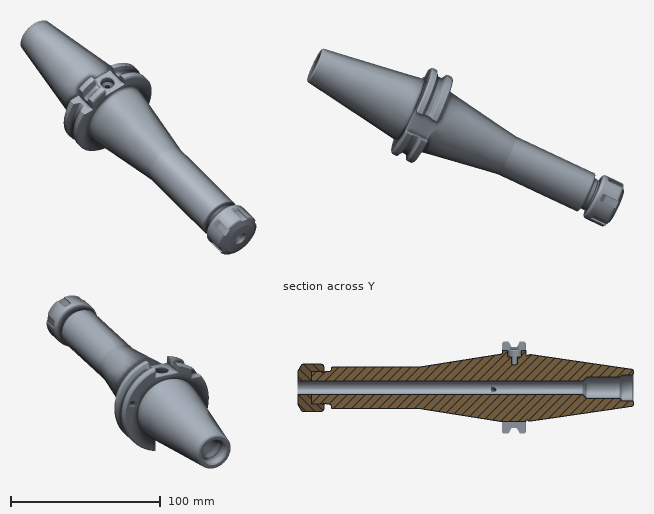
import cadquery as cq
import math

GAUGE_X = 69.2
UNDERCUT_X = 70.3
FLANGE_X = 71.6
FLANGE_END_X = 87.5
CONE_END_X = 142.5
BODY_END_X = 201.7
NUT_X = 206.5
END_X = 223.9

GAUGE_R = 22.4
TAPER_RATIO = 7 / 48
SMALL_END_R = GAUGE_R - GAUGE_X * TAPER_RATIO
LAND_R = 22.2
UNDERCUT_R = 21.5
FLANGE_R = 31.68
CONE_START_R = 22.72
BODY_R = 14.0
SMALL_END_CHAMFER = 1.0
FLANGE_CHAMFER = 1.0
CONE_START_FILLET = 1.3
CONE_BLEND_R = 5.5
BODY_END_FILLET = 1.1

GROOVE_X = 79.5
GROOVE_BOTTOM_R = 28.1
GROOVE_BOTTOM_WIDTH = 3.4
GROOVE_HALF_ANGLE = math.radians(30)
GROOVE_BOTTOM_FILLET = 1.1

SLOT_WIDTH = 16.1
SLOT_LENGTH = FLANGE_END_X + CONE_START_FILLET - FLANGE_X
UPPER_SLOT_Z = 25.0
LOWER_SLOT_Z = -22.5
NOTCH_OFFSET = 18.47
SLOT_CHAMFER = 0.5
SEAT_R = 4.6
SEAT_CHAMFER = 0.5
SEAT_DEPTH = 4.5
PILOT_R = 1.8
PILOT_DEPTH = 4.5
PILOT_TIP = 1.0

COOLANT_R = 2.0
COOLANT_PITCH_R = 26.9
COOLANT_ANGLE = 19.5
COOLANT_LENGTH = 32.5

BORE_R = 4.37
MOUTH_R = 9.5
COUNTERBORE_R = 8.5
COUNTERBORE_DEPTH = 8.0
THREAD_ENTRY_R = 8.0
THREAD_BORE_R = 7.0
THREAD_BORE_END_X = 31.3
BORE_CONE_END_X = THREAD_BORE_END_X + THREAD_BORE_R - BORE_R

NOSE_R = 11.08
NOSE_END_X = 215.0
NOSE_FILLET = 1.1
THREAD_X = 204.6
THREAD_PITCH = 1.5
THREAD_WIDTH = 1.1
THREAD_TURNS = 2
THREAD_DEPTH = 1.0
THREAD_OVERRUN = 0.07

NUT_R = 16.0
NUT_FACE_R = 11.2
NUT_CONE_LENGTH = 2.7
NUT_REAR_FILLET = 2.0
NUT_CONE_FILLET = 1.5
NUT_FACE_FILLET = 1.8
WRENCH_SLOTS = 6
WRENCH_SLOT_ANGLE = 11.0
WRENCH_SLOT_WIDTH = 5.4
WRENCH_FLOOR_R = 14.45
WRENCH_SLOT_X = 209.8
WRENCH_FLOOR_X = 212.5

MARGIN = 2.2
TOLERANCE = 0.02


def revolve_about_x(points):
    """Turn a closed outline of (x, radius) points about the X axis."""
    return cq.Workplane("XZ").polyline(points).close().revolve(360, (0, 0, 0), (1, 0, 0))


def circle_edges(shape, x, radius):
    """Circular edges centred on the X axis at the given position and radius."""
    outer = radius + TOLERANCE
    inner = radius - TOLERANCE
    slab = cq.selectors.BoxSelector(
        (x - TOLERANCE, -outer, -outer), (x + TOLERANCE, outer, outer), boundingbox=True
    )
    return shape.edges(slab).filter(lambda edge: edge.BoundingBox().zmax > inner)


def turned_holder():
    holder = revolve_about_x([
        (0, 0),
        (0, SMALL_END_R),
        (GAUGE_X, GAUGE_R),
        (GAUGE_X, LAND_R),
        (UNDERCUT_X, LAND_R),
        (UNDERCUT_X + LAND_R - UNDERCUT_R, UNDERCUT_R),
        (FLANGE_X, UNDERCUT_R),
        (FLANGE_X, FLANGE_R),
        (FLANGE_END_X, FLANGE_R),
        (FLANGE_END_X, CONE_START_R),
        (CONE_END_X, BODY_R),
        (BODY_END_X, BODY_R),
        (BODY_END_X, NOSE_R),
        (NOSE_END_X, NOSE_R),
        (NOSE_END_X, 0),
    ])
    holder = circle_edges(holder, 0, SMALL_END_R).chamfer(SMALL_END_CHAMFER)
    holder = circle_edges(holder, FLANGE_X, FLANGE_R).chamfer(FLANGE_CHAMFER)
    holder = circle_edges(holder, FLANGE_END_X, FLANGE_R).chamfer(FLANGE_CHAMFER)
    holder = circle_edges(holder, FLANGE_END_X, CONE_START_R).fillet(CONE_START_FILLET)
    holder = circle_edges(holder, BODY_END_X, NOSE_R).fillet(NOSE_FILLET)
    holder = circle_edges(holder, CONE_END_X, BODY_R).fillet(CONE_BLEND_R)
    return circle_edges(holder, BODY_END_X, BODY_R).fillet(BODY_END_FILLET)


def cut_flange_groove(holder):
    bottom = GROOVE_BOTTOM_WIDTH / 2
    rim = bottom + (FLANGE_R - GROOVE_BOTTOM_R) * math.tan(GROOVE_HALF_ANGLE)
    groove = revolve_about_x([
        (GROOVE_X - bottom, GROOVE_BOTTOM_R),
        (GROOVE_X + bottom, GROOVE_BOTTOM_R),
        (GROOVE_X + rim, FLANGE_R),
        (GROOVE_X + rim, FLANGE_R + MARGIN),
        (GROOVE_X - rim, FLANGE_R + MARGIN),
        (GROOVE_X - rim, FLANGE_R),
    ])
    holder = holder.cut(groove)
    for side in (-1, 1):
        corner = circle_edges(holder, GROOVE_X + side * bottom, GROOVE_BOTTOM_R)
        holder = corner.fillet(GROOVE_BOTTOM_FILLET)
    return holder


def flange_cutter(width, y, z):
    """Block through the flange along X, centred at (y, z), flared where it meets the rear face."""
    height = FLANGE_R
    face = cq.Workplane("YZ", origin=(FLANGE_X, y, z))
    block = face.rect(width, height).extrude(SLOT_LENGTH)
    flare = face.rect(width + 2 * SLOT_CHAMFER, height + 2 * SLOT_CHAMFER).extrude(SLOT_CHAMFER, taper=45)
    return block.union(flare)


def cut_slots_and_notch(holder):
    half = FLANGE_R / 2
    holder = holder.cut(flange_cutter(SLOT_WIDTH, 0, UPPER_SLOT_Z + half))
    holder = holder.cut(flange_cutter(SLOT_WIDTH, 0, LOWER_SLOT_Z - half))
    return holder.cut(flange_cutter(FLANGE_R, -NOTCH_OFFSET - half, NOTCH_OFFSET + half))


def cut_slot_seat(holder):
    """Round seat in the floor of the upper slot, with a pointed pilot hole below it."""
    seat_z = UPPER_SLOT_Z - SEAT_DEPTH
    pilot_z = seat_z - PILOT_DEPTH
    cutter = (
        cq.Workplane("XZ")
        .polyline([
            (0, UPPER_SLOT_Z),
            (SEAT_R + SEAT_CHAMFER, UPPER_SLOT_Z),
            (SEAT_R, UPPER_SLOT_Z - SEAT_CHAMFER),
            (SEAT_R, seat_z),
            (PILOT_R, seat_z),
            (PILOT_R, pilot_z),
            (0, pilot_z - PILOT_TIP),
        ])
        .close()
        .revolve(360, (0, 0, 0), (0, 1, 0))
        .translate((GROOVE_X, 0, 0))
    )
    return holder.cut(cutter)


def cut_coolant_holes(holder):
    """Two opposite holes sloping at 45 degrees from the flange face into the central bore."""
    slope = cq.Vector(1, -1, 0)
    start = cq.Vector(FLANGE_X, COOLANT_PITCH_R, 0) - slope * MARGIN
    length = COOLANT_LENGTH + MARGIN * slope.Length
    drill = cq.Workplane(cq.Solid.makeCylinder(COOLANT_R, length, start, slope))
    for turn in (0, 180):
        holder = holder.cut(drill.rotate((0, 0, 0), (1, 0, 0), COOLANT_ANGLE + turn))
    return holder


def cut_bore(holder):
    chamfer = MOUTH_R - COUNTERBORE_R
    bore = revolve_about_x([
        (0, 0),
        (0, MOUTH_R),
        (chamfer, COUNTERBORE_R),
        (COUNTERBORE_DEPTH, COUNTERBORE_R),
        (COUNTERBORE_DEPTH, THREAD_ENTRY_R),
        (COUNTERBORE_DEPTH + THREAD_ENTRY_R - THREAD_BORE_R, THREAD_BORE_R),
        (THREAD_BORE_END_X, THREAD_BORE_R),
        (BORE_CONE_END_X, BORE_R),
        (NOSE_END_X, BORE_R),
        (NOSE_END_X, 0),
    ])
    return holder.cut(bore)


def cut_thread(holder):
    """Right-handed V thread on the nose, starting behind the nut and ending inside it."""
    helix = cq.Wire.makeHelix(
        THREAD_PITCH, THREAD_TURNS * THREAD_PITCH, NOSE_R, cq.Vector(THREAD_X, 0, 0), cq.Vector(1, 0, 0)
    )
    section = cq.Plane(helix.startPoint(), xDir=(1, 0, 0), normal=(0, -1, 0))
    groove = (
        cq.Workplane(section)
        .polyline([
            (-THREAD_WIDTH / 2, THREAD_OVERRUN),
            (THREAD_WIDTH / 2, THREAD_OVERRUN),
            (0, -THREAD_DEPTH),
        ])
        .close()
        .sweep(cq.Workplane(helix), isFrenet=True)
    )
    return holder.cut(groove)


def make_holder():
    holder = turned_holder()
    holder = cut_flange_groove(holder)
    holder = cut_slots_and_notch(holder)
    holder = cut_slot_seat(holder)
    holder = cut_coolant_holes(holder)
    holder = cut_bore(holder)
    return cut_thread(holder)


def wrench_slot():
    """Slot cutter on the -Y side, with a ramp rising from its floor to the nut's surface."""
    outer = NUT_R + MARGIN
    rise = (NUT_R - WRENCH_FLOOR_R) / (WRENCH_FLOOR_X - WRENCH_SLOT_X)
    return (
        cq.Workplane("XY")
        .polyline([
            (WRENCH_SLOT_X - MARGIN / rise, -outer),
            (WRENCH_FLOOR_X, -WRENCH_FLOOR_R),
            (END_X, -WRENCH_FLOOR_R),
            (END_X, -outer),
        ])
        .close()
        .extrude(WRENCH_SLOT_WIDTH / 2, both=True)
    )


def make_nut():
    cone_x = END_X - NUT_CONE_LENGTH
    nut = revolve_about_x([
        (NUT_X, NOSE_R),
        (NUT_X, NUT_R),
        (cone_x, NUT_R),
        (END_X, NUT_FACE_R),
        (END_X, BORE_R),
        (NOSE_END_X, BORE_R),
        (NOSE_END_X, NOSE_R),
    ])
    nut = circle_edges(nut, NUT_X, NUT_R).fillet(NUT_REAR_FILLET)
    nut = circle_edges(nut, cone_x, NUT_R).fillet(NUT_CONE_FILLET)
    nut = circle_edges(nut, END_X, NUT_FACE_R).fillet(NUT_FACE_FILLET)
    slot = wrench_slot()
    for i in range(WRENCH_SLOTS):
        angle = WRENCH_SLOT_ANGLE + i * 360 / WRENCH_SLOTS
        nut = nut.cut(slot.rotate((0, 0, 0), (1, 0, 0), angle))
    return nut


holder = make_holder()
nut = make_nut()
result = cq.Compound.makeCompound([holder.solids().val(), nut.solids().val()])